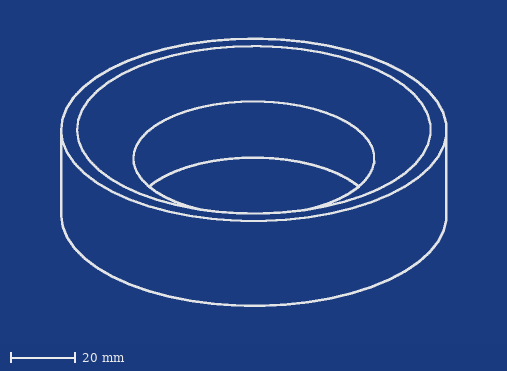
import cadquery as cq
import math

outer_diameter = 120.0
height = 30.0
bore_diameter = 75.0
seat_diameter = 110.0
seat_cone_angle = 120.0

outer_radius = outer_diameter / 2
bore_radius = bore_diameter / 2
seat_radius = seat_diameter / 2
seat_depth = (seat_radius - bore_radius) / math.tan(math.radians(seat_cone_angle / 2))

half_section = (
    cq.Workplane("XZ")
    .moveTo(bore_radius, 0)
    .lineTo(outer_radius, 0)
    .lineTo(outer_radius, height)
    .lineTo(seat_radius, height)
    .lineTo(bore_radius, height - seat_depth)
    .close()
)

result = half_section.revolve(360, (0, 0, 0), (0, 1, 0))